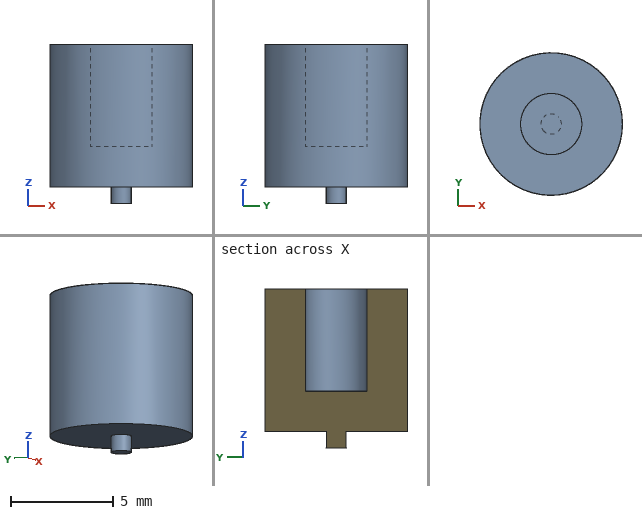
import cadquery as cq

total_height = 7.8
body_diameter = 7.0
body_height = 7.0
bore_diameter = 3.0
bore_depth = 5.0
pin_diameter = 1.0
pin_length = total_height - body_height

body = cq.Workplane("XY").circle(body_diameter / 2).extrude(body_height)

body = body.faces(">Z").workplane().hole(bore_diameter, bore_depth)

pin = cq.Workplane("XY").circle(pin_diameter / 2).extrude(-pin_length)

result = body.union(pin)